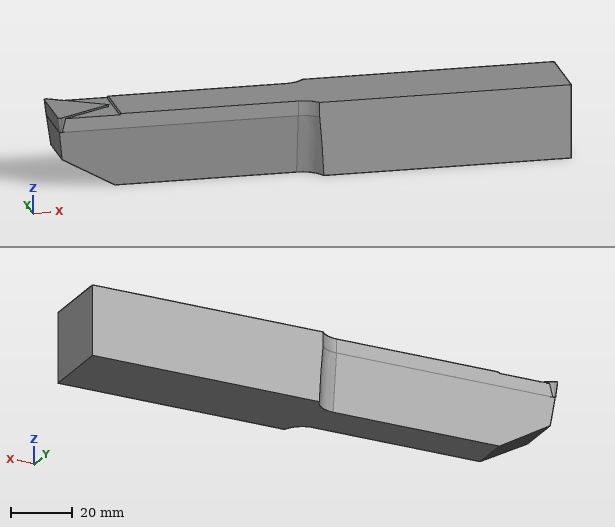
import cadquery as cq
import math

TOOL_LENGTH = 170.03
SHANK_SIZE = 25.0
SHANK_HALF = SHANK_SIZE / 2

RELIEF_DEG = 7.0
RELIEF = math.radians(RELIEF_DEG)

NECK_HALF_WIDTH = 9.45
NECK_END_X = 80.0
NECK_RADIUS = 8.3
RELIEF_START_Z = 20.0

HEEL_Z = 10.3
HEEL_ANGLE = math.radians(30.0)

SEAT_Z = 24.6
SEAT_END_X = 20.7
SEAT_RAMP_LENGTH = 0.5

INSERT_TOP_Z = 25.22
INSERT_BOTTOM_Z = RELIEF_START_Z
INSERT_SIDE = 22.2
INSERT_HALF_CORNER = math.radians(30.0)
INSERT_HEIGHT = INSERT_SIDE * math.cos(INSERT_HALF_CORNER)
INSERT_NOSE_RADIUS = 0.8

CLEARANCE = 5.0


def front_x(z):
    """X of the relieved front face at height z."""
    return (INSERT_TOP_Z - z) * math.tan(RELIEF)


def make_insert():
    """Triangular insert with a rounded nose at each end of the cutting edge and a sharp rear corner.

    The flanks lean inward toward the base, so each nose is a cone.
    """
    radius = INSERT_NOSE_RADIUS
    nose_y = INSERT_SIDE / 2 - radius / math.tan(INSERT_HALF_CORNER)
    flank_x = radius * (1 + math.sin(INSERT_HALF_CORNER))
    flank_y = nose_y + radius * math.cos(INSERT_HALF_CORNER)
    middle_x = radius * (1 - math.sin(INSERT_HALF_CORNER))
    return (
        cq.Workplane("XY", origin=(0, 0, INSERT_TOP_Z))
        .moveTo(0, nose_y)
        .lineTo(0, -nose_y)
        .threePointArc((middle_x, -flank_y), (flank_x, -flank_y))
        .lineTo(INSERT_HEIGHT, 0)
        .lineTo(flank_x, flank_y)
        .threePointArc((middle_x, flank_y), (0, nose_y))
        .close()
        .extrude(INSERT_BOTTOM_Z - INSERT_TOP_Z, taper=RELIEF_DEG)
    )


def make_blank():
    """Side outline of the holder, extruded to the full shank width."""
    heel_x = front_x(HEEL_Z)
    return (
        cq.Workplane("XZ")
        .moveTo(front_x(SEAT_Z), SEAT_Z)
        .lineTo(heel_x, HEEL_Z)
        .lineTo(heel_x + HEEL_Z / math.tan(HEEL_ANGLE), 0)
        .lineTo(TOOL_LENGTH, 0)
        .lineTo(TOOL_LENGTH, SHANK_SIZE)
        .lineTo(SEAT_END_X + SEAT_RAMP_LENGTH, SHANK_SIZE)
        .lineTo(SEAT_END_X, SEAT_Z)
        .close()
        .extrude(SHANK_HALF, both=True)
    )


def neck_cutter(side):
    """Material beside the neck on one side (+1 or -1): upright above, leaning inward below."""
    inner_y = side * NECK_HALF_WIDTH
    center_y = inner_y + side * NECK_RADIUS
    outer_y = side * (SHANK_HALF + CLEARANCE)
    middle = NECK_RADIUS * math.sqrt(0.5)
    outline = (
        cq.Workplane("XY", origin=(0, 0, RELIEF_START_Z))
        .moveTo(-CLEARANCE, inner_y)
        .lineTo(NECK_END_X, inner_y)
        .threePointArc(
            (NECK_END_X + middle, center_y - side * middle),
            (NECK_END_X + NECK_RADIUS, center_y),
        )
        .lineTo(NECK_END_X + NECK_RADIUS, outer_y)
        .lineTo(-CLEARANCE, outer_y)
        .close()
        .val()
    )
    upright = cq.Vector(0, 0, SHANK_SIZE - RELIEF_START_Z)
    lean = -side * RELIEF_START_Z * math.tan(RELIEF)
    leaning = cq.Vector(0, lean, -RELIEF_START_Z)
    upper = cq.Solid.extrudeLinear(outline, [], upright)
    lower = cq.Solid.extrudeLinear(outline, [], leaning)
    return upper, lower


def make_holder(insert):
    """Shank and neck with a pocket that fits the insert."""
    holder = make_blank()
    for side in (1, -1):
        for cutter in neck_cutter(side):
            holder = holder.cut(cq.Workplane(cutter))
    return holder.cut(insert)


insert = make_insert()
holder = make_holder(insert)

result = cq.Compound.makeCompound([holder.val(), insert.val()])